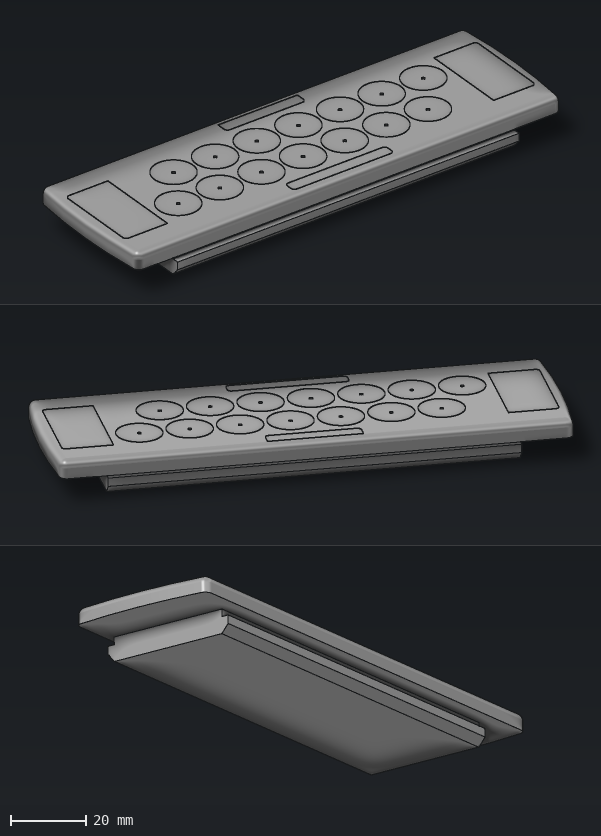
import cadquery as cq

width = 44.0
length = 141.7
height = 12.0

plate_thickness = 5.1
end_bulge = 1.35
corner_radius = 2.1
rim_radius = 2.1

rail_length = 112.2
rail_offset_x = 1.4
rail_width = 40.2
neck_width = 36.1
neck_height = 2.1
rail_chamfer_width = 2.1
rail_chamfer_height = 2.4

mark_depth = 0.1

membrane_diameter = 12.6
membrane_count = 7
membrane_span = 82.0
membrane_pitch = membrane_span / (membrane_count - 1)
column_x = 6.8
first_membrane_y = 45.2
pilot_diameter = 1.0
pilot_depth = 0.7

label_width = 26.9
label_length = 13.9
label_outer_y = 67.5
label_corner_radius = 1.1

strip_width = 3.8
strip_outer_x = 19.4
left_strip_length = 26.1
right_strip_length = 33.0
strip_corner_radius = 1.1


def cover_plate():
    """Plate with bowed ends, rounded corners and a rounded top rim."""
    half_width = width / 2
    end_y = length / 2
    corner_y = end_y - end_bulge
    return (
        cq.Workplane("XY")
        .workplane(offset=height - plate_thickness)
        .moveTo(-half_width, -corner_y)
        .threePointArc((0, -end_y), (half_width, -corner_y))
        .lineTo(half_width, corner_y)
        .threePointArc((0, end_y), (-half_width, corner_y))
        .close()
        .extrude(plate_thickness)
        .edges("|Z")
        .fillet(corner_radius)
        .faces(">Z")
        .edges()
        .fillet(rim_radius)
    )


def mounting_rail():
    """Rail with a narrow neck at the plate and sloped lower edges."""
    half_rail = rail_width / 2
    half_neck = neck_width / 2
    half_bottom = half_rail - rail_chamfer_width
    plate_bottom = height - plate_thickness
    neck_bottom = plate_bottom - neck_height
    right_side = [
        (half_bottom, 0),
        (half_rail, rail_chamfer_height),
        (half_rail, neck_bottom),
        (half_neck, neck_bottom),
        (half_neck, plate_bottom),
    ]
    left_side = [(-x, z) for x, z in reversed(right_side)]
    return (
        cq.Workplane("XZ")
        .polyline(right_side + left_side)
        .close()
        .extrude(rail_length / 2, both=True)
        .translate((rail_offset_x, 0, 0))
    )


def top_pocket_plane(depth):
    """Workplane lying the given depth below the top face."""
    return cq.Workplane("XY").workplane(offset=height - depth)


def membrane_pockets():
    """Round recesses with a small pilot hole in each center."""
    column = [first_membrane_y - i * membrane_pitch for i in range(membrane_count)]
    left_centers = [(-column_x, y) for y in column]
    right_centers = [(column_x, -y) for y in column]
    centers = left_centers + right_centers
    discs = (
        top_pocket_plane(mark_depth)
        .pushPoints(centers)
        .circle(membrane_diameter / 2)
        .extrude(mark_depth)
    )
    pilots = (
        top_pocket_plane(pilot_depth)
        .pushPoints(centers)
        .circle(pilot_diameter / 2)
        .extrude(pilot_depth)
    )
    return discs.union(pilots)


def label_pocket(end):
    """Rectangular recess at one end (+1 or -1), rounded at its outer corners."""
    outer_corners = "|Z and >Y" if end > 0 else "|Z and <Y"
    return (
        top_pocket_plane(mark_depth)
        .center(0, end * (label_outer_y - label_length / 2))
        .rect(label_width, label_length)
        .extrude(mark_depth)
        .edges(outer_corners)
        .fillet(label_corner_radius)
    )


def strip_pocket(side, strip_length, rounded_corners):
    """Narrow recess beside one long edge (-1 left, +1 right)."""
    return (
        top_pocket_plane(mark_depth)
        .center(side * (strip_outer_x - strip_width / 2), 0)
        .rect(strip_width, strip_length)
        .extrude(mark_depth)
        .edges(rounded_corners)
        .fillet(strip_corner_radius)
    )


result = cover_plate().union(mounting_rail())
result = result.cut(membrane_pockets())
for end in (1, -1):
    result = result.cut(label_pocket(end))
result = result.cut(strip_pocket(-1, left_strip_length, "|Z and >X"))
result = result.cut(strip_pocket(1, right_strip_length, "|Z"))